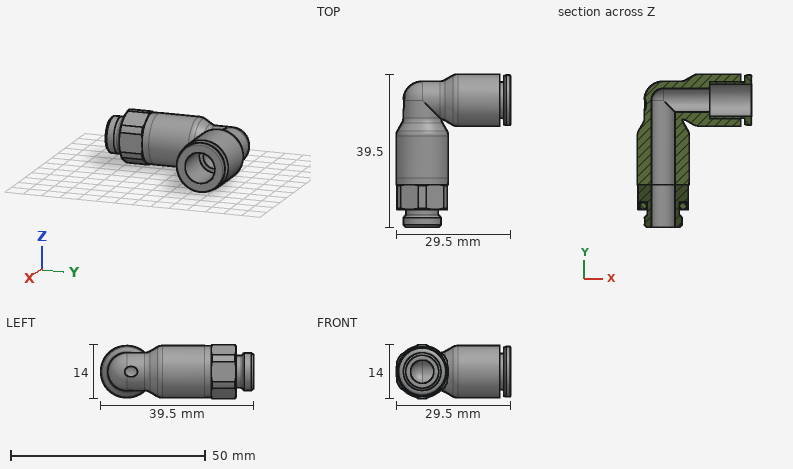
import cadquery as cq
import math


knee_radius = 4.9
arm_radius = 6.75
arm_length = 20.0
flare_start = 4.55
flare_angle = math.radians(30)
flare_blend_radius = 2.6
skirt_length = 1.8
skirt_end_radius = 6.7
passage_radius = 3.0
socket_radius = 4.7
socket_depth = 8.0
dimple_radius = 3.0
dimple_depth = 0.5
dimple_offset = 1.1

collar_bore_radius = 4.1
collar_end = 22.76
flange_start = 21.0
flange_radius = 6.5
flange_edge_fillet = 0.3
flange_back_radius = 6.25
flange_shoulder_radius = 6.32
flange_shoulder_width = 0.15
flange_bevel_width = 0.65
neck_fillet = 0.15

hex_across_flats = 13.0
hex_corner_radius = 7.0
hex_start = arm_length + skirt_length
hex_end = 28.2
hex_arm_face_radius = 6.65
hex_end_face_radius = 6.4
hex_chamfer_angle = math.radians(30)
undercut_radius = 4.2
undercut_fillet = 0.4
thread_radius = 4.87
thread_end = 32.76
thread_start = 30.25
thread_chamfer = 0.63

seal_outer_radius = 6.1
seal_section_radius = (seal_outer_radius - undercut_radius) / 2
seal_mean_radius = seal_outer_radius - seal_section_radius


def spin_about_x(profile):
    """Revolve a closed (length, radius) profile about the tube axis."""
    return profile.revolve(360, (0, 0, 0), (1, 0, 0))


def point_down_y(shape):
    """Swing a shape built along +X so that it runs along -Y."""
    return shape.rotate((0, 0, 0), (0, 0, 1), -90)


def cylinder_x(start, end, radius):
    return cq.Workplane("YZ", origin=(start, 0, 0)).circle(radius).extrude(end - start)


def flare_arc_points(centre_length, centre_radius, direction, first_angle, last_angle):
    """Middle and end points of a flare blend; angles are measured from the radial direction."""
    points = []
    for angle in ((first_angle + last_angle) / 2, last_angle):
        length = centre_length + flare_blend_radius * math.sin(angle)
        radius = centre_radius + direction * flare_blend_radius * math.cos(angle)
        points.append((length, radius))
    return points


def elbow_arm():
    """One arm along +X: slim at the knee, flared through two blends to full size."""
    blend_length = flare_blend_radius * math.sin(flare_angle)
    blend_rise = flare_blend_radius * (1 - math.cos(flare_angle))
    cone_rise = arm_radius - knee_radius - 2 * blend_rise
    cone_length = cone_rise / math.tan(flare_angle)
    flare_end = flare_start + 2 * blend_length + cone_length
    lower_blend = flare_arc_points(
        flare_start, knee_radius + flare_blend_radius, -1, 0, flare_angle
    )
    upper_blend = flare_arc_points(
        flare_end, arm_radius - flare_blend_radius, 1, -flare_angle, 0
    )
    cone_end = (flare_end - blend_length, arm_radius - blend_rise)
    profile = (
        cq.Workplane("XY")
        .lineTo(0, knee_radius)
        .lineTo(flare_start, knee_radius)
        .threePointArc(*lower_blend)
        .lineTo(*cone_end)
        .threePointArc(*upper_blend)
        .lineTo(arm_length, arm_radius)
        .lineTo(arm_length, 0)
        .close()
    )
    return spin_about_x(profile)


def elbow_skirt():
    """Slightly tapered end of the threaded arm, built along +X."""
    profile = cq.Workplane("XY").polyline([
        (arm_length, 0),
        (arm_length, arm_radius),
        (hex_start, skirt_end_radius),
        (hex_start, 0),
    ]).close()
    return spin_about_x(profile)


def make_elbow():
    body = (
        cq.Workplane("XY").sphere(knee_radius)
        .union(elbow_arm())
        .union(point_down_y(elbow_arm().union(elbow_skirt())))
    )
    passage = (
        cq.Workplane("XY").sphere(passage_radius)
        .union(cylinder_x(0, arm_length, passage_radius))
        .union(point_down_y(cylinder_x(0, hex_start, passage_radius)))
    )
    socket = cylinder_x(arm_length - socket_depth, arm_length, socket_radius)
    dimple_centre_x = -(knee_radius + dimple_radius - dimple_depth)
    dimple = cq.Workplane("XY").sphere(dimple_radius).translate((dimple_centre_x, -dimple_offset, 0))
    return body.cut(passage).cut(socket).cut(dimple)


def make_collar():
    """Release collar: a sleeve in the tube socket with a flange outside it."""
    fillet_mid = math.sqrt(0.5)
    neck_fillet_mid = (
        flange_start - neck_fillet * (1 - fillet_mid),
        socket_radius + neck_fillet * (1 - fillet_mid),
    )
    edge_fillet_mid = (
        collar_end - flange_edge_fillet * (1 - fillet_mid),
        flange_radius - flange_edge_fillet * (1 - fillet_mid),
    )
    sleeve_start = arm_length - socket_depth
    profile = (
        cq.Workplane("XY")
        .moveTo(sleeve_start, collar_bore_radius)
        .lineTo(sleeve_start, socket_radius)
        .lineTo(flange_start - neck_fillet, socket_radius)
        .threePointArc(neck_fillet_mid, (flange_start, socket_radius + neck_fillet))
        .lineTo(flange_start, flange_back_radius)
        .lineTo(flange_start + flange_shoulder_width, flange_shoulder_radius)
        .lineTo(flange_start + flange_bevel_width, flange_radius)
        .lineTo(collar_end - flange_edge_fillet, flange_radius)
        .threePointArc(edge_fillet_mid, (collar_end, flange_radius - flange_edge_fillet))
        .lineTo(collar_end, collar_bore_radius)
        .close()
    )
    return spin_about_x(profile)


def hex_nut():
    """Hexagon along +X with its corners turned round and both ends chamfered."""
    hexagon = (
        cq.Workplane("YZ", origin=(hex_start, 0, 0))
        .polygon(6, hex_across_flats / math.cos(math.pi / 6))
        .extrude(hex_end - hex_start)
        .rotate((0, 0, 0), (1, 0, 0), 30)
    )
    chamfer_slope = math.tan(hex_chamfer_angle)
    arm_chamfer_length = (hex_corner_radius - hex_arm_face_radius) * chamfer_slope
    end_chamfer_length = (hex_corner_radius - hex_end_face_radius) * chamfer_slope
    turned_profile = cq.Workplane("XY").polyline([
        (hex_start, 0),
        (hex_start, hex_arm_face_radius),
        (hex_start + arm_chamfer_length, hex_corner_radius),
        (hex_end - end_chamfer_length, hex_corner_radius),
        (hex_end, hex_end_face_radius),
        (hex_end, 0),
    ]).close()
    return hexagon.intersect(spin_about_x(turned_profile))


def threaded_end():
    """Undercut neck blended into the plain thread diameter, built along +X."""
    neck_end = thread_start - (thread_radius - undercut_radius)
    tangent_length = undercut_fillet * math.tan(math.pi / 8)
    arc_start = neck_end - tangent_length
    blend_points = []
    for angle in (math.pi / 8, math.pi / 4):
        blend_points.append((
            arc_start + undercut_fillet * math.sin(angle),
            undercut_radius + undercut_fillet * (1 - math.cos(angle)),
        ))
    profile = (
        cq.Workplane("XY")
        .moveTo(hex_start, 0)
        .lineTo(hex_start, undercut_radius)
        .lineTo(arc_start, undercut_radius)
        .threePointArc(*blend_points)
        .lineTo(thread_start, thread_radius)
        .lineTo(thread_end - thread_chamfer, thread_radius)
        .lineTo(thread_end, thread_radius - thread_chamfer)
        .lineTo(thread_end, 0)
        .close()
    )
    return spin_about_x(profile)


def make_fitting():
    seal_seat_start = hex_end - 2 * seal_section_radius
    seal_seat = cylinder_x(seal_seat_start, hex_end, seal_outer_radius)
    bore = cylinder_x(hex_start, thread_end, passage_radius)
    fitting = hex_nut().cut(seal_seat).union(threaded_end()).cut(bore)
    return point_down_y(fitting)


def make_seal():
    section = cq.Workplane("XY").center(hex_end - seal_section_radius, seal_mean_radius)
    ring = section.circle(seal_section_radius).revolve(
        360, (0, -seal_mean_radius, 0), (1, -seal_mean_radius, 0)
    )
    return point_down_y(ring)


elbow = make_elbow()
collar = make_collar()
fitting = make_fitting()
seal = make_seal()

result = cq.Compound.makeCompound([elbow.val(), collar.val(), fitting.val(), seal.val()])